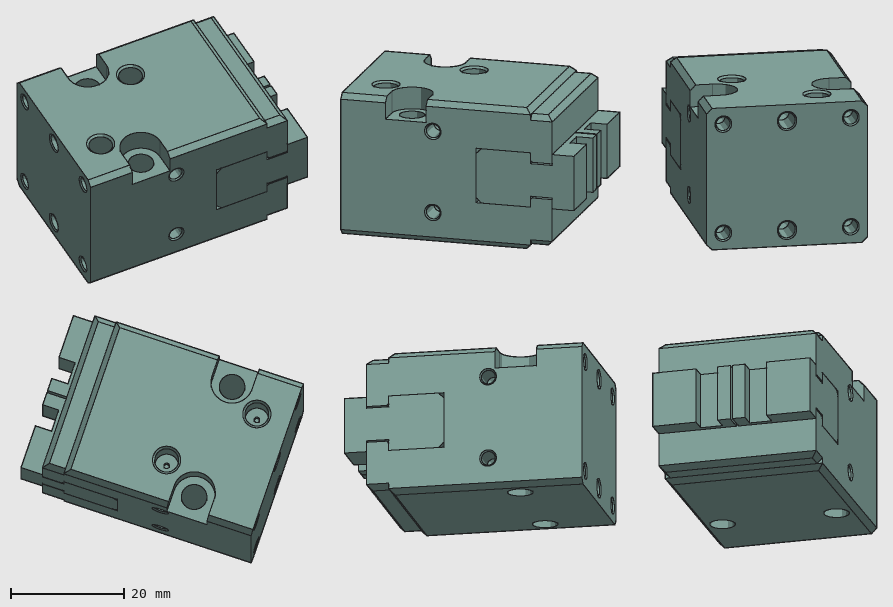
import cadquery as cq
import math

total_length = 43.0
width = 29.0
height = 26.0
edge_chamfer = 1.0

jaw_projection = 4.0
lip_thickness = 4.0
lip_inset = 1.0
lip_end = total_length - jaw_projection
body_length = lip_end - lip_thickness
lip_height = height - 2 * lip_inset

jaw_height = 10.0
neck_height = 6.0
lip_opening = 6.6
lip_chamfer = 0.3
head_length = 10.0
head_chamfer = 0.95
head_start = body_length - head_length
jaw_gap = 0.4

notch_width = 4.0
notch_depth = 3.0
notch_offset = 4.5

mount_offset = 10.5
mount_y = 12.0
mount_diameter = 4.5
pocket_width = 7.5
pocket_depth = 4.0

port_positions = [(-6.5, 18.5), (6.5, 6.0)]
port_diameter = 4.2
port_mouth = 5.0
port_depth = 5.15
orifice_diameter = 1.0
orifice_depth = 1.3

tap_diameter = 2.5
tap_mouth = 3.0
tap_depth = 5.0
dowel_diameter = 3.0
dowel_mouth = 3.5
dowel_depth = 6.0
drill_point_angle = 118.0
rear_hole_offset_x = 11.5
rear_hole_offset_z = 10.0
side_hole_y = 17.0
side_hole_offset_z = 7.5


def chamfered_block(block_height, y_end):
    """Full-width block from the rear face to y_end, with bevelled long edges and top and bottom front edges."""
    block = cq.Workplane("XY").box(width, y_end, block_height).translate((0, y_end / 2, 0))
    front_edges = block.faces(">Y").edges("|X")
    return block.edges("|Y").add(front_edges).chamfer(edge_chamfer)


def revolved_cutter(profile, origin, direction):
    """Round cutter from (radius, depth) points, its mouth at origin and its axis going into the part."""
    cutter = cq.Workplane("XZ").polyline(profile).close().revolve(axisStart=(0, 0, 0), axisEnd=(0, 1, 0))
    plane = cq.Plane(origin=origin, normal=direction)
    return cq.Workplane(cutter.val().moved(cq.Location(plane)))


def drilled_hole(diameter, mouth, depth, origin, direction):
    """Blind hole with a 45 degree countersunk mouth and a conical drill point."""
    radius = diameter / 2
    countersink = (mouth - diameter) / 2
    point_length = radius / math.tan(math.radians(drill_point_angle / 2))
    profile = [
        (0, 0),
        (mouth / 2, 0),
        (radius, countersink),
        (radius, depth),
        (0, depth + point_length),
    ]
    return revolved_cutter(profile, origin, direction)


def port_hole(x, y):
    """Flat-bottomed port with a countersunk mouth and a small central orifice."""
    radius = port_diameter / 2
    orifice_end = port_depth + orifice_depth
    profile = [
        (0, 0),
        (port_mouth / 2, 0),
        (radius, (port_mouth - port_diameter) / 2),
        (radius, port_depth),
        (orifice_diameter / 2, port_depth),
        (orifice_diameter / 2, orifice_end),
        (0, orifice_end),
    ]
    return revolved_cutter(profile, (x, y, height / 2), (0, 0, -1))


def jaw_slot():
    """T-shaped guide slot running the full width, with its inner lip edges bevelled."""
    head = cq.Workplane("XY").box(width, head_length, jaw_height)
    head = head.translate((0, body_length - head_length / 2, 0))
    half_opening = lip_opening / 2
    opening = (
        cq.Workplane("YZ")
        .moveTo(body_length, half_opening + lip_chamfer)
        .lineTo(body_length + lip_chamfer, half_opening)
        .lineTo(lip_end, half_opening)
        .lineTo(lip_end, -half_opening)
        .lineTo(body_length + lip_chamfer, -half_opening)
        .lineTo(body_length, -half_opening - lip_chamfer)
        .close()
        .extrude(width / 2, both=True)
    )
    return head.union(opening)


def mount_cutter(side):
    """Through hole with a round-ended pocket that opens onto the side face (side is -1 or 1)."""
    x = side * mount_offset
    floor = height / 2 - pocket_depth
    run_out = width / 2 - mount_offset
    hole = cq.Workplane("XY").center(x, mount_y).circle(mount_diameter / 2).extrude(height / 2, both=True)
    round_end = (
        cq.Workplane("XY", origin=(x, mount_y, floor))
        .circle(pocket_width / 2)
        .extrude(pocket_depth)
    )
    channel = (
        cq.Workplane("XY", origin=(x + side * run_out / 2, mount_y, floor))
        .rect(run_out, pocket_width)
        .extrude(pocket_depth)
    )
    return hole.union(round_end).union(channel)


def make_housing():
    """Stepped block with the jaw slot, mounting holes, air ports and blind holes."""
    body = chamfered_block(height, body_length)
    housing = body.union(chamfered_block(lip_height, lip_end)).cut(jaw_slot())

    for side in (-1, 1):
        housing = housing.cut(mount_cutter(side))

    for x, y in port_positions:
        housing = housing.cut(port_hole(x, y))

    into_rear = (0, 1, 0)
    for level in (-1, 1):
        z = level * rear_hole_offset_z
        dowel = drilled_hole(dowel_diameter, dowel_mouth, dowel_depth, (0, 0, z), into_rear)
        housing = housing.cut(dowel)
        for side in (-1, 1):
            rear_mouth = (side * rear_hole_offset_x, 0, z)
            rear_tap = drilled_hole(tap_diameter, tap_mouth, tap_depth, rear_mouth, into_rear)
            side_mouth = (side * width / 2, side_hole_y, level * side_hole_offset_z)
            side_tap = drilled_hole(tap_diameter, tap_mouth, tap_depth, side_mouth, (-side, 0, 0))
            housing = housing.cut(rear_tap).cut(side_tap)
    return housing


def make_jaw(side):
    """T-headed gripper jaw on one side of the centre gap (side is -1 or 1)."""
    inner = jaw_gap / 2
    jaw_width = width / 2 - inner
    centre_x = side * (inner + jaw_width / 2)
    half_jaw = jaw_height / 2
    half_neck = neck_height / 2
    upper_half = [
        (head_start, half_jaw - head_chamfer),
        (head_start + head_chamfer, half_jaw),
        (body_length, half_jaw),
        (body_length, half_neck),
        (lip_end, half_neck),
        (lip_end, half_jaw),
        (total_length, half_jaw),
    ]
    lower_half = [(y, -z) for y, z in reversed(upper_half)]
    blank = (
        cq.Workplane("YZ", origin=(centre_x, 0, 0))
        .polyline(upper_half + lower_half)
        .close()
        .extrude(jaw_width / 2, both=True)
    )
    notch = cq.Workplane("XY").box(notch_width, notch_depth, jaw_height)
    notch_centre = (side * notch_offset, total_length - notch_depth / 2, 0)
    return blank.cut(notch.translate(notch_centre))


housing = make_housing()
jaws = [make_jaw(side) for side in (-1, 1)]

result = cq.Compound.makeCompound([housing.val(), *[jaw.val() for jaw in jaws]])